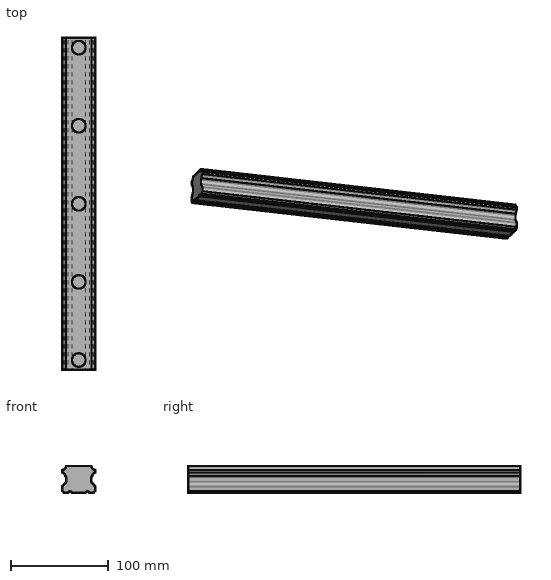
import cadquery as cq
import math

length = 340.0
width = 34.0
height = 27.5

top_half_width = 13.0
top_lip_width = 0.5
top_lip_height = 1.5
land_top_z = 23.5
land_bottom_z = 20.7

raceway_sag = 0.7
lower_raceway_half_width = 14.0
lower_raceway_bottom_z = 17.5

waist_half_width = 13.0
waist_top_z = 16.0
waist_bottom_z = 11.2

foot_top_z = 6.5
foot_chamfer = 2.0

waist_fillet = 1.5

groove_offset = 9.0
groove_radius = 2.0
groove_depth = 1.5

recess_count = 5
recess_pitch = 80.0
recess_diameter = 14.0
recess_depth = 0.17

half_width = width / 2


def raceway_middle(start, end):
    """Return the middle of a raceway arc, bowed towards the rail's centre plane."""
    run = end[0] - start[0]
    rise = end[1] - start[1]
    chord = math.hypot(run, rise)
    inward_x = -abs(rise) / chord
    inward_z = math.copysign(run / chord, run * rise)
    middle_x = (start[0] + end[0]) / 2 + raceway_sag * inward_x
    middle_z = (start[1] + end[1]) / 2 + raceway_sag * inward_z
    return (middle_x, middle_z)


def rail_body():
    """Extrude the right half of the section along Y, round it and mirror it across X = 0."""
    upper_start = (top_half_width + top_lip_width, height - top_lip_height)
    upper_end = (half_width, land_top_z)
    lower_start = (half_width, land_bottom_z)
    lower_end = (lower_raceway_half_width, lower_raceway_bottom_z)
    rounded_corners = [
        (waist_half_width, waist_top_z),
        (waist_half_width, waist_bottom_z),
        (half_width, foot_top_z),
    ]
    half_rail = (
        cq.Workplane("XZ", origin=(0, length / 2, 0))
        .moveTo(0, height)
        .lineTo(top_half_width, height)
        .lineTo(*upper_start)
        .threePointArc(raceway_middle(upper_start, upper_end), upper_end)
        .lineTo(*lower_start)
        .threePointArc(raceway_middle(lower_start, lower_end), lower_end)
        .lineTo(waist_half_width, waist_top_z)
        .lineTo(waist_half_width, waist_bottom_z)
        .lineTo(half_width, foot_top_z)
        .lineTo(half_width, foot_chamfer)
        .lineTo(half_width - foot_chamfer, 0)
        .lineTo(0, 0)
        .close()
        .extrude(length)
    )
    for x, z in rounded_corners:
        corner_edge = cq.selectors.NearestToPointSelector((x, 0, z))
        half_rail = half_rail.edges("|Y").edges(corner_edge).fillet(waist_fillet)
    return half_rail.union(half_rail.mirror("YZ"))


def underside_grooves():
    """Round-bottomed grooves running the full length on both sides of the centre."""
    axis_z = groove_depth - groove_radius
    return (
        cq.Workplane("XZ", origin=(0, length / 2, 0))
        .pushPoints([(-groove_offset, axis_z), (groove_offset, axis_z)])
        .circle(groove_radius)
        .extrude(length)
    )


def top_recesses():
    """Row of shallow discs sunk into the top face."""
    return (
        cq.Workplane("XY", origin=(0, 0, height - recess_depth))
        .rarray(3.5, recess_pitch, 1, recess_count)
        .circle(recess_diameter / 2)
        .extrude(recess_depth)
    )


result = rail_body().cut(underside_grooves()).cut(top_recesses())